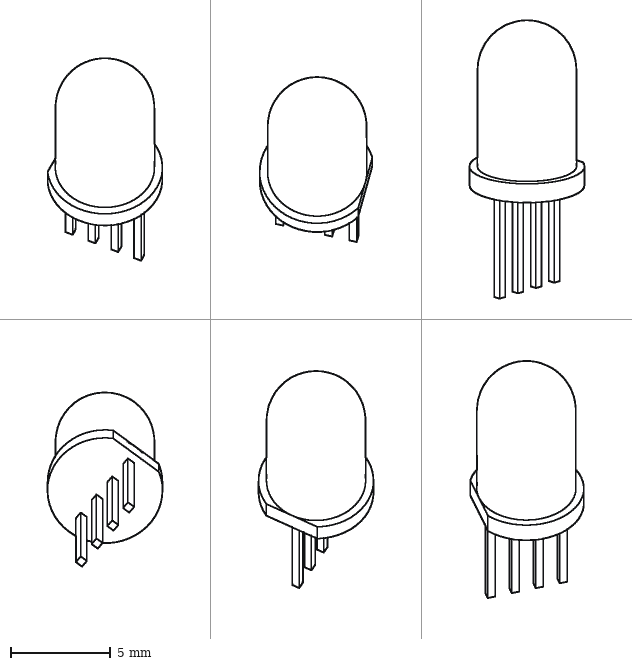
import cadquery as cq

lens_diameter = 5.0
lens_radius = lens_diameter / 2

flange_diameter = 5.8
flange_height = 1.0
flat_x = -lens_radius

lead_count = 4
lead_pitch = 1.27
lead_width = 0.4
lead_length = 5.5

overall_height = 14.1
lens_top_z = overall_height - lead_length
dome_base_z = lens_top_z - lens_radius


def make_flange():
    disc = cq.Workplane("XY").circle(flange_diameter / 2).extrude(flange_height)
    keep_region = cq.Workplane("XY").box(
        flange_diameter, flange_diameter, flange_height, centered=(False, True, False)
    ).translate((flat_x, 0, 0))
    return disc.intersect(keep_region)


def make_lens():
    """Revolve the lens half-profile, from the flange underside to the dome tip."""
    dome_mid = lens_radius * 0.5 ** 0.5
    return (
        cq.Workplane("XZ")
        .lineTo(lens_radius, 0)
        .lineTo(lens_radius, dome_base_z)
        .threePointArc((dome_mid, dome_base_z + dome_mid), (0, lens_top_z))
        .close()
        .revolve(360, (0, 0, 0), (0, 1, 0))
    )


def make_leads():
    return (
        cq.Workplane("XY")
        .rarray(lead_pitch, 1, lead_count, 1)
        .rect(lead_width, lead_width)
        .extrude(-lead_length)
    )


result = make_flange().union(make_lens()).union(make_leads())